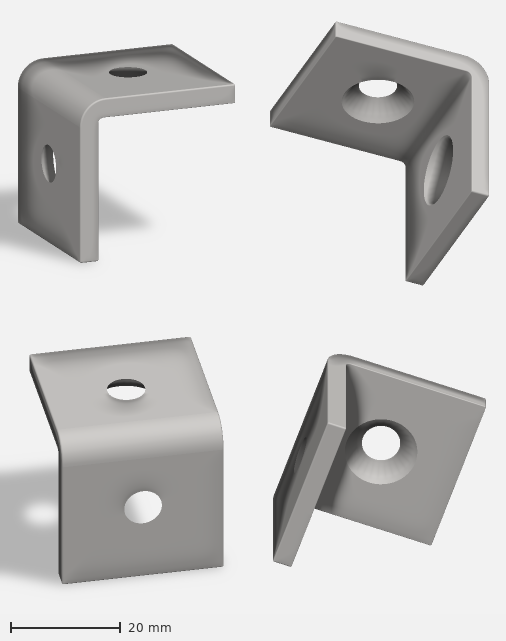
import cadquery as cq

width = 30.1
leg = 30.7
thickness = 3.6
inner_bend_radius = 1.0
outer_bend_radius = 5.0
hole_diameter = 7.0
countersink_diameter = 13.25
hole_offset = 15.65
outer_edge_round = 0.3
inner_edge_round = 0.15

inner_corner = thickness + inner_bend_radius


def bent_plate():
    """L-shaped plate: front leg hangs down at y = 0, top leg runs back at z = 0."""
    profile = (
        cq.Workplane("YZ")
        .moveTo(0, -leg)
        .lineTo(0, -outer_bend_radius)
        .radiusArc((outer_bend_radius, 0), outer_bend_radius)
        .lineTo(leg, 0)
        .lineTo(leg, -thickness)
        .lineTo(inner_corner, -thickness)
        .radiusArc((thickness, -inner_corner), -inner_bend_radius)
        .lineTo(thickness, -leg)
        .close()
    )
    return profile.extrude(width / 2, both=True)


def round_edges(plate):
    """Round the side and end edges, more gently around the inner faces."""
    inner_outline = cq.selectors.BoxSelector(
        (-width, thickness / 2, -2 * leg),
        (width, 2 * leg, -thickness / 2),
        boundingbox=True,
    )
    outer_outline = cq.selectors.InverseSelector(inner_outline)
    for outline, radius in ((outer_outline, outer_edge_round), (inner_outline, inner_edge_round)):
        border = plate.faces("<X or >X or >Y or <Z").edges()
        plate = border.edges(outline).fillet(radius)
    return plate


def countersunk_hole(plane, offset):
    """Cone through one leg, widening from its outer face to its inner face."""
    return (
        cq.Workplane(plane)
        .center(0, offset)
        .circle(hole_diameter / 2)
        .workplane(offset=-thickness)
        .circle(countersink_diameter / 2)
        .loft(ruled=True)
    )


top_hole = countersunk_hole("XY", hole_offset)
front_hole = countersunk_hole("XZ", -hole_offset)

result = round_edges(bent_plate()).cut(top_hole).cut(front_hole)